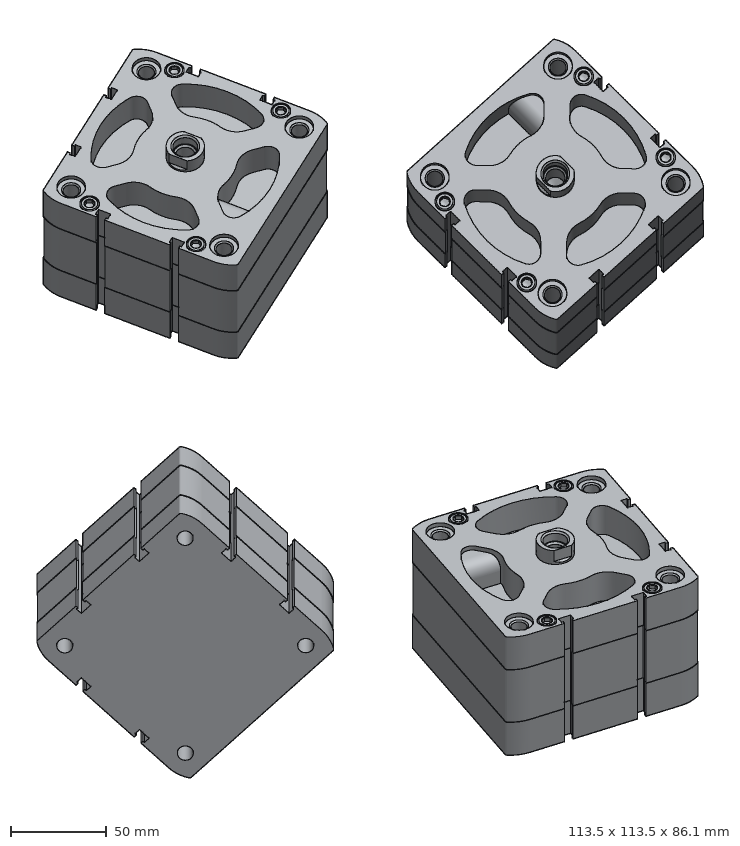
import cadquery as cq
import math

WIDTH = 113.5
HALF = WIDTH / 2
HOUSING_HEIGHT = 77.1
CAP_HEIGHT = 21.5
BARREL_HEIGHT = HOUSING_HEIGHT - 2 * CAP_HEIGHT
BARREL_INSET = 0.2
CROWN_RADIUS = 22.0
CROWN_RUN = 12.3
CORNER_RADIUS = 1.2

SLOT_OFFSET = 21.5
SLOT_MOUTH = 5.0
SLOT_INNER = 7.0
SLOT_LIP = 1.6
SLOT_DEPTH = 5.0

POCKET_COUNT = 4
POCKET_OUTER_RADIUS = 49.3
POCKET_INNER_RADIUS = 27.4
POCKET_WEB = 13.5
POCKET_OUTER_FILLET = 6.0
POCKET_INNER_FILLET = 12.5
POCKET_DEPTH = 18.7

PORT_BOSS_RADIUS = 8.0
PORT_BOSS_Y = -20.0
PORT_BOSS_DROP = 2.7

MOUNT_SPACING = 89.0
MOUNT_DIAMETER = 8.4
MOUNT_CHAMFER_DIAMETER = 10.0
MOUNT_COUNTERBORE_DIAMETER = 15.0
MOUNT_COUNTERBORE_DEPTH = 2.5

SCREW_SPACING_X = 62.0
SCREW_SPACING_Y = 100.3
SCREW_HEAD_DIAMETER = 10.2
SCREW_TOP_DIAMETER = 8.5
SOCKET_FLATS = 5.0
SOCKET_DEPTH = 2.6
SOCKET_SIDES = 6
SOCKET_TIP = 0.7

ROD_DIAMETER = 20.0
ROD_PROJECTION = 9.0
ROD_SEAT_DEPTH = CAP_HEIGHT
ROD_FLATS = 17.0
ROD_FLAT_HEIGHT = 7.0
ROD_SHOULDER_SLOPE = 30.0
ROD_MOUTH_DIAMETER = 15.0
ROD_COUNTERBORE_DIAMETER = 13.0
ROD_COUNTERBORE_DEPTH = 6.0
ROD_STEP_DIAMETER = 12.0
ROD_BORE_DIAMETER = 10.0
ROD_BORE_DEPTH = 20.0

DRILL_HALF_ANGLE = 59.0

ROD_TOP = HOUSING_HEIGHT + ROD_PROJECTION


def drill_tip(radius):
    """Height of the cone that a drill of this radius leaves."""
    return radius / math.tan(math.radians(DRILL_HALF_ANGLE))


def revolved(points):
    """Solid of revolution about Z from (radius, z) points."""
    return cq.Workplane("XZ").polyline(points).close().revolve(360, (0, 0), (0, 1))


def cut_quadrants(body, tool, spacing_x, spacing_y):
    """Cut four copies of a tool out of a body, one in each quadrant."""
    for side_x in (-1, 1):
        for side_y in (-1, 1):
            body = body.cut(tool.translate((side_x * spacing_x / 2, side_y * spacing_y / 2, 0)))
    return body


def block(inset, bottom, height):
    """Prism with the housing outline, drawn in from all sides by an inset."""
    half = HALF - inset
    arc_start = half - CROWN_RUN
    crown_y = half - CROWN_RADIUS
    round_x = half - CORNER_RADIUS
    reach = CROWN_RADIUS - CORNER_RADIUS
    swing = math.acos((round_x - arc_start) / reach)
    round_y = crown_y + reach * math.sin(swing)

    def on_crown(angle):
        return (arc_start + CROWN_RADIUS * math.cos(angle), crown_y + CROWN_RADIUS * math.sin(angle))

    def on_round(angle):
        return (round_x + CORNER_RADIUS * math.cos(angle), round_y + CORNER_RADIUS * math.sin(angle))

    quarter = (
        cq.Workplane("XY", origin=(0, 0, bottom))
        .lineTo(0, half)
        .lineTo(arc_start, half)
        .threePointArc(on_crown((swing + math.pi / 2) / 2), on_crown(swing))
        .threePointArc(on_round(swing / 2), (half, round_y))
        .lineTo(half, 0)
        .close()
        .extrude(height)
    )
    side = quarter.union(quarter.mirror("YZ"))
    return side.union(side.mirror("XZ")).clean()


def slot(inset, bottom, height):
    """T-slot cut into the -Y side, centred on X = 0, measured from the inset side."""
    face = inset - HALF
    mouth = cq.Workplane("XY").box(SLOT_MOUTH, SLOT_DEPTH, height, centered=(True, False, False))
    inner = cq.Workplane("XY").box(SLOT_INNER, SLOT_DEPTH - SLOT_LIP, height, centered=(True, False, False))
    return mouth.union(inner.translate((0, SLOT_LIP, 0))).translate((0, face, bottom))


def section(inset, bottom, height):
    """One storey of the housing with its slots on the -Y, -X and +Y sides."""
    body = block(inset, bottom, height)
    for turn in (0, -90, 180):
        for offset in (-SLOT_OFFSET, SLOT_OFFSET):
            cutter = slot(inset, bottom, height).translate((offset, 0, 0))
            body = body.cut(cutter.rotate((0, 0, 0), (0, 0, 1), turn))
    return body


def pocket():
    """Kidney-shaped pocket on the +X side, with parallel webs to its neighbours."""
    floor = HOUSING_HEIGHT - POCKET_DEPTH
    apex = POCKET_WEB / math.sqrt(2)
    wedge = (
        cq.Workplane("XY", origin=(0, 0, floor))
        .polyline([(apex, 0), (apex + HALF, -HALF), (apex + HALF, HALF)])
        .close()
        .extrude(POCKET_DEPTH)
    )
    ring = (
        cq.Workplane("XY", origin=(0, 0, floor))
        .circle(POCKET_OUTER_RADIUS)
        .circle(POCKET_INNER_RADIUS)
        .extrude(POCKET_DEPTH)
    )
    kidney = ring.intersect(wedge)
    kidney = kidney.edges("|Z and >Y or |Z and <Y").fillet(POCKET_OUTER_FILLET)
    return kidney.edges("|Z and <X").fillet(POCKET_INNER_FILLET)


def port_boss():
    """Round-topped boss along X that fills the -Y end of the +X pocket."""
    edge_y = PORT_BOSS_Y + PORT_BOSS_RADIUS
    height = POCKET_DEPTH - PORT_BOSS_DROP
    boss = cq.Workplane("XY").box(HALF, HALF, height, centered=(False, False, False))
    boss = boss.edges(">Y and >Z").fillet(PORT_BOSS_RADIUS)
    return boss.translate((0, edge_y - HALF, HOUSING_HEIGHT - POCKET_DEPTH))


def mounting_hole():
    """Through hole with a counterbore and a chamfer at the step."""
    bore = MOUNT_DIAMETER / 2
    chamfer = MOUNT_CHAMFER_DIAMETER / 2
    counterbore = MOUNT_COUNTERBORE_DIAMETER / 2
    step = HOUSING_HEIGHT - MOUNT_COUNTERBORE_DEPTH
    return revolved([
        (0, 0),
        (bore, 0),
        (bore, step - (chamfer - bore)),
        (chamfer, step),
        (counterbore, step),
        (counterbore, HOUSING_HEIGHT),
        (0, HOUSING_HEIGHT),
    ])


def screw_recess():
    """V-groove round a screw head and the chamfered hexagon socket with a conical floor."""
    rim = SCREW_HEAD_DIAMETER / 2
    top = SCREW_TOP_DIAMETER / 2
    groove = revolved([
        (top, HOUSING_HEIGHT),
        (rim, HOUSING_HEIGHT),
        (rim, HOUSING_HEIGHT - (rim - top)),
    ])
    socket_floor = HOUSING_HEIGHT - SOCKET_DEPTH
    drill = SOCKET_FLATS / 2
    socket = (
        cq.Workplane("XY", origin=(0, 0, socket_floor))
        .polygon(SOCKET_SIDES, SOCKET_FLATS, circumscribed=True)
        .extrude(SOCKET_DEPTH)
    )
    corner = drill / math.cos(math.pi / SOCKET_SIDES)
    lead_in_floor = HOUSING_HEIGHT - (corner - drill)
    lead_in = revolved([
        (0, HOUSING_HEIGHT),
        (corner, HOUSING_HEIGHT),
        (drill, lead_in_floor),
        (0, lead_in_floor),
    ])
    tip = revolved([(0, socket_floor), (drill, socket_floor), (0, socket_floor - SOCKET_TIP)])
    return groove.union(socket).union(lead_in).union(tip)


def rod_blank():
    """Plain cylinder of the rod, also the shape of its seat in the housing."""
    return (
        cq.Workplane("XY", origin=(0, 0, HOUSING_HEIGHT - ROD_SEAT_DEPTH))
        .circle(ROD_DIAMETER / 2)
        .extrude(ROD_SEAT_DEPTH + ROD_PROJECTION)
    )


def make_housing():
    """Two end caps with a slightly slimmer barrel between them, and the seat of the rod."""
    body = section(0, 0, CAP_HEIGHT)
    body = body.union(section(BARREL_INSET, CAP_HEIGHT, BARREL_HEIGHT))
    body = body.union(section(0, CAP_HEIGHT + BARREL_HEIGHT, CAP_HEIGHT))

    ported_pocket = pocket().cut(port_boss())
    body = body.cut(ported_pocket)
    for index in range(1, POCKET_COUNT):
        turn = index * 360 / POCKET_COUNT
        body = body.cut(pocket().rotate((0, 0, 0), (0, 0, 1), turn))

    body = cut_quadrants(body, mounting_hole(), MOUNT_SPACING, MOUNT_SPACING)
    body = cut_quadrants(body, screw_recess(), SCREW_SPACING_X, SCREW_SPACING_Y)
    return body.cut(rod_blank())


def rod_flat():
    """Cutter for the flat on the +Y side of the rod, with a sloping shoulder below it."""
    inside = ROD_FLATS / 2
    outside = ROD_DIAMETER
    shoulder = ROD_TOP - ROD_FLAT_HEIGHT
    fall = (outside - inside) * math.tan(math.radians(ROD_SHOULDER_SLOPE))
    return (
        cq.Workplane("YZ")
        .polyline([(inside, ROD_TOP), (inside, shoulder), (outside, shoulder - fall), (outside, ROD_TOP)])
        .close()
        .extrude(ROD_DIAMETER / 2, both=True)
    )


def rod_bore():
    """Blind bore with a chamfered counterbore and a drill-point floor."""
    mouth = ROD_MOUTH_DIAMETER / 2
    counterbore = ROD_COUNTERBORE_DIAMETER / 2
    step = ROD_STEP_DIAMETER / 2
    bore = ROD_BORE_DIAMETER / 2
    step_z = ROD_TOP - ROD_COUNTERBORE_DEPTH
    floor_z = ROD_TOP - ROD_BORE_DEPTH
    return revolved([
        (0, ROD_TOP),
        (mouth, ROD_TOP),
        (counterbore, ROD_TOP - (mouth - counterbore)),
        (counterbore, step_z),
        (step, step_z),
        (bore, step_z - (step - bore)),
        (bore, floor_z),
        (0, floor_z - drill_tip(bore)),
    ])


def make_rod():
    """Piston rod end with two wrench flats and a stepped bore."""
    flat = rod_flat()
    return rod_blank().cut(flat).cut(flat.mirror("XZ")).cut(rod_bore())


housing = make_housing()
rod = make_rod()
result = cq.Compound.makeCompound([housing.solids().val(), rod.solids().val()])